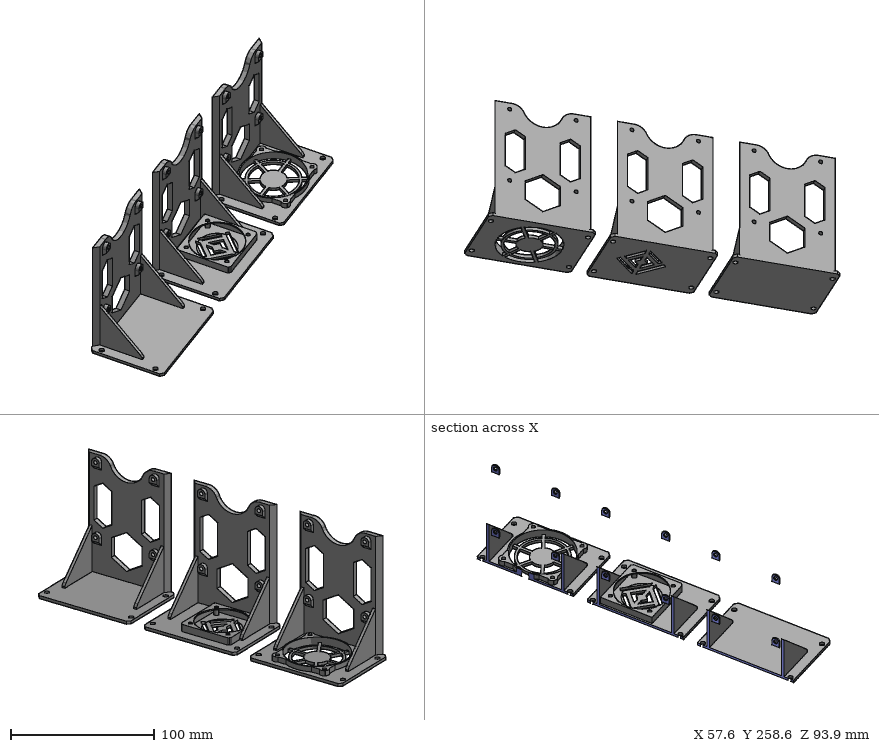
import cadquery as cq
import math

BASE_X = 57.6
BASE_Y = 78.6
BASE_T = 2.4
BASE_CHAMFER = 2.4
BRACKET_PITCH = 90.0
MOUNT_HOLE_D = 3.6
MOUNT_SPAN_X = 42.4
MOUNT_SPAN_Y = 71.6

WALL_T = 4.0
WALL_H = 93.9
WALL_Y = 70.6
RIB_OUTER_Y = 31.7
SCOOP_R = 15.0
SHOULDER_R = 10.0

SIDE_HEX_FLATS = 15.0
SIDE_HEX_Y = 20.25
SIDE_HEX_Z = 55.5
SIDE_HEX_STRETCH = 17.4
LOW_HEX_FLATS = 26.0
LOW_HEX_Z = 25.2

BOARD_SPAN_Y = 49.0
BOARD_SPAN_Z = 58.0
BOARD_TOP_Z = 88.9
STANDOFF_D = 6.4
STANDOFF_L = 3.0
STANDOFF_HOLE_D = 2.8

RIB_T = 2.4
RIB_TOP_Z = 38.0
RIB_KNEE_X = 36.0
RIB_END_X = 37.6
RIB_END_Z = 3.6

FAN50_X = 29.9
FAN50_HOLE_SPAN = 40.0
FAN50_BORE_D = 48.0
FAN50_RIM_D = 50.0
FAN50_TOP_Z = 6.4
FAN50_FRAME = 45.2
FAN50_LUG_R = 3.5
HUB_D = 19.0
GUARD_RING_OD = 40.0
GUARD_RING_ID = 36.0
SPOKE_W = 2.4
SPOKE_COUNT = 6

FAN40_X = 28.4
FAN40_Y = 8.2
FAN40_SIDE = 42.2
FAN40_TOP_Z = 8.0
FAN40_CHAMFER = 1.6
FAN40_BORE_D = 39.8
FAN40_HOLE_SPAN = 32.0
FAN40_WALL = 1.2
FAN40_ROOF = 1.0
FAN40_POST_D = 3.8
FAN40_DISH_D = 29.0
FAN40_DISH_DEPTH = 0.3
GRILLE_CORE = 3.3
GRILLE_WINDOW = 6.6
GRILLE_SLOT_IN = 9.9
GRILLE_SLOT_OUT = 12.7
GRILLE_BAR_W = 3.0

GRILLE_T = BASE_T
FAN_HOLE_D = 2.8
FAN_HOLE_FLOOR_Z = 1.0


def centred_box(x, y, width, depth, z_low, z_high):
    return (cq.Workplane("XY", origin=(x, y, z_low))
            .rect(width, depth).extrude(z_high - z_low))


def disc(x, y, diameter, z_low, z_high):
    return (cq.Workplane("XY", origin=(x, y, z_low))
            .circle(diameter / 2).extrude(z_high - z_low))


def make_base():
    base = centred_box(BASE_X / 2, 0, BASE_X, BASE_Y, 0, BASE_T)
    base = base.edges("|Z").chamfer(BASE_CHAMFER)
    holes = (cq.Workplane("XY", origin=(BASE_X / 2, 0, 0))
             .rect(MOUNT_SPAN_X, MOUNT_SPAN_Y, forConstruction=True).vertices()
             .circle(MOUNT_HOLE_D / 2).extrude(BASE_T))
    return base.cut(holes)


def scoop_cutter():
    """Semicircular dip in the wall's top edge, blended into it by two round shoulders."""
    shoulder_y = math.sqrt((SCOOP_R + SHOULDER_R) ** 2 - SHOULDER_R ** 2)
    blend = SCOOP_R / (SCOOP_R + SHOULDER_R)
    join_y = shoulder_y * blend
    join_z = WALL_H - SHOULDER_R * blend
    half_angle = math.atan2(shoulder_y, SHOULDER_R) / 2
    mid_y = shoulder_y - SHOULDER_R * math.sin(half_angle)
    mid_z = WALL_H - SHOULDER_R + SHOULDER_R * math.cos(half_angle)
    return (cq.Workplane("YZ")
            .moveTo(-shoulder_y, WALL_H)
            .threePointArc((-mid_y, mid_z), (-join_y, join_z))
            .threePointArc((0, WALL_H - SCOOP_R), (join_y, join_z))
            .threePointArc((mid_y, mid_z), (shoulder_y, WALL_H))
            .close().extrude(WALL_T))


def hex_window(y, z, flats, stretch=0.0):
    """Point-up hexagon cutter whose upright sides are lengthened by `stretch`."""
    half = flats / 2
    side = half / math.cos(math.radians(30))
    shoulder = (side + stretch) / 2
    tip = side + stretch / 2
    corners = [(half, shoulder), (0, tip), (-half, shoulder),
               (-half, -shoulder), (0, -tip), (half, -shoulder)]
    return (cq.Workplane("YZ", origin=(0, y, z)).polyline(corners).close().extrude(WALL_T))


def make_wall():
    outer = WALL_Y / 2
    footprint = [(0, -outer), (WALL_T, -RIB_OUTER_Y), (WALL_T, RIB_OUTER_Y), (0, outer)]
    wall = cq.Workplane("XY").polyline(footprint).close().extrude(WALL_H)
    wall = wall.cut(scoop_cutter())
    for side in (-1, 1):
        wall = wall.cut(hex_window(side * SIDE_HEX_Y, SIDE_HEX_Z, SIDE_HEX_FLATS, SIDE_HEX_STRETCH))
    return wall.cut(hex_window(0, LOW_HEX_Z, LOW_HEX_FLATS))


def make_standoff(y, z):
    """Round post with a 45 degree support below it."""
    radius = STANDOFF_D / 2
    post = cq.Workplane("YZ", origin=(WALL_T, y, z)).circle(radius).extrude(STANDOFF_L)
    support = (cq.Workplane("XZ", origin=(0, y + radius, 0))
               .moveTo(WALL_T, z).lineTo(WALL_T + STANDOFF_L, z)
               .lineTo(WALL_T + STANDOFF_L, z - radius)
               .lineTo(WALL_T, z - radius - STANDOFF_L)
               .close().extrude(STANDOFF_D))
    return post.union(support)


def board_positions():
    return [(side * BOARD_SPAN_Y / 2, z)
            for side in (-1, 1) for z in (BOARD_TOP_Z, BOARD_TOP_Z - BOARD_SPAN_Z)]


def make_rib(side):
    knee_z = RIB_TOP_Z - (RIB_KNEE_X - WALL_T)
    profile = [(WALL_T, BASE_T), (WALL_T, RIB_TOP_Z), (RIB_KNEE_X, knee_z),
               (RIB_END_X, RIB_END_Z), (RIB_END_X, BASE_T)]
    far_y = RIB_OUTER_Y if side > 0 else RIB_T - RIB_OUTER_Y
    return (cq.Workplane("XZ", origin=(0, far_y, 0)).polyline(profile).close().extrude(RIB_T))


def make_plain_bracket():
    bracket = make_base().union(make_wall())
    for side in (-1, 1):
        bracket = bracket.union(make_rib(side))
    for y, z in board_positions():
        bracket = bracket.union(make_standoff(y, z))
    for y, z in board_positions():
        hole = (cq.Workplane("YZ", origin=(0, y, z))
                .circle(STANDOFF_HOLE_D / 2).extrude(WALL_T + STANDOFF_L))
        bracket = bracket.cut(hole)
    return bracket


def fan_screw_holes(x, y, span, top_z):
    return (cq.Workplane("XY", origin=(x, y, FAN_HOLE_FLOOR_Z))
            .rect(span, span, forConstruction=True).vertices()
            .circle(FAN_HOLE_D / 2).extrude(top_z - FAN_HOLE_FLOOR_Z))


def make_round_guard():
    """Hub, ring and spokes across the bore of the 50 mm fan seat."""
    ring = disc(FAN50_X, 0, GUARD_RING_OD, 0, GRILLE_T)
    ring = ring.cut(disc(FAN50_X, 0, GUARD_RING_ID, 0, GRILLE_T))
    guard = ring.union(disc(FAN50_X, 0, HUB_D, 0, GRILLE_T))
    spoke_reach = (FAN50_BORE_D + FAN50_RIM_D) / 4
    for i in range(SPOKE_COUNT):
        spoke = (cq.Workplane("XY").center(spoke_reach / 2, 0)
                 .rect(spoke_reach, SPOKE_W).extrude(GRILLE_T)
                 .rotate((0, 0, 0), (0, 0, 1), 90 + i * 360 / SPOKE_COUNT)
                 .translate((FAN50_X, 0, 0)))
        guard = guard.union(spoke)
    return guard


def make_fan50_bracket():
    seat = centred_box(FAN50_X, 0, FAN50_FRAME, FAN50_FRAME, BASE_T, FAN50_TOP_Z)
    lugs = (cq.Workplane("XY", origin=(FAN50_X, 0, BASE_T))
            .rect(FAN50_HOLE_SPAN, FAN50_HOLE_SPAN, forConstruction=True).vertices()
            .circle(FAN50_LUG_R).extrude(FAN50_TOP_Z - BASE_T))
    seat = seat.union(lugs).union(disc(FAN50_X, 0, FAN50_RIM_D, BASE_T, FAN50_TOP_Z))
    bracket = make_plain_bracket().union(seat)
    bracket = bracket.cut(disc(FAN50_X, 0, FAN50_BORE_D, 0, FAN50_TOP_Z))
    bracket = bracket.cut(fan_screw_holes(FAN50_X, 0, FAN50_HOLE_SPAN, FAN50_TOP_Z))
    return bracket.union(make_round_guard())


def make_square_grille_cutter():
    """Openings between concentric squares turned 45 degrees, with a bar left across the middle."""
    window = centred_box(0, 0, 2 * GRILLE_WINDOW, 2 * GRILLE_WINDOW, 0, GRILLE_T)
    openings = window.cut(centred_box(0, 0, 2 * GRILLE_CORE, 2 * GRILLE_CORE, 0, GRILLE_T))
    slot_mid = (GRILLE_SLOT_IN + GRILLE_SLOT_OUT) / 2
    slot_w = GRILLE_SLOT_OUT - GRILLE_SLOT_IN
    long_slot_l = 2 * GRILLE_SLOT_OUT
    short_slot_l = GRILLE_SLOT_OUT + GRILLE_WINDOW
    short_slot_mid = (GRILLE_WINDOW - GRILLE_SLOT_OUT) / 2
    openings = openings.union(centred_box(slot_mid, 0, slot_w, long_slot_l, 0, GRILLE_T))
    openings = openings.union(centred_box(0, -slot_mid, long_slot_l, slot_w, 0, GRILLE_T))
    openings = openings.union(centred_box(short_slot_mid, slot_mid, short_slot_l, slot_w, 0, GRILLE_T))
    openings = openings.union(centred_box(-slot_mid, -short_slot_mid, slot_w, short_slot_l, 0, GRILLE_T))
    openings = openings.rotate((0, 0, 0), (0, 0, 1), 45)
    bar = centred_box(0, 0, 4 * GRILLE_SLOT_OUT, GRILLE_BAR_W, 0, GRILLE_T)
    return openings.cut(bar).translate((FAN40_X, FAN40_Y, 0))


def make_fan40_hollow():
    """Space inside the 40 mm fan seat: a square room around four screw posts, open to a round bore."""
    room_side = FAN40_SIDE - 2 * FAN40_WALL
    roof_z = FAN40_TOP_Z - FAN40_ROOF
    room = centred_box(FAN40_X, FAN40_Y, room_side, room_side, BASE_T, roof_z)
    posts = (cq.Workplane("XY", origin=(FAN40_X, FAN40_Y, BASE_T))
             .rect(FAN40_HOLE_SPAN, FAN40_HOLE_SPAN, forConstruction=True).vertices()
             .circle(FAN40_POST_D / 2).extrude(roof_z - BASE_T))
    bore = disc(FAN40_X, FAN40_Y, FAN40_BORE_D, roof_z, FAN40_TOP_Z)
    return room.cut(posts).union(bore)


def make_fan40_bracket():
    seat = centred_box(FAN40_X, FAN40_Y, FAN40_SIDE, FAN40_SIDE, BASE_T, FAN40_TOP_Z)
    seat = seat.edges("|Z and >X").chamfer(FAN40_CHAMFER)
    bracket = make_plain_bracket().union(seat).cut(make_fan40_hollow())
    bracket = bracket.cut(disc(FAN40_X, FAN40_Y, FAN40_DISH_D, BASE_T - FAN40_DISH_DEPTH, BASE_T))
    bracket = bracket.cut(fan_screw_holes(FAN40_X, FAN40_Y, FAN40_HOLE_SPAN, FAN40_TOP_Z))
    return bracket.cut(make_square_grille_cutter())


plain_bracket = make_plain_bracket().translate((0, -BRACKET_PITCH, 0))
fan40_bracket = make_fan40_bracket()
fan50_bracket = make_fan50_bracket().translate((0, BRACKET_PITCH, 0))

result = cq.Compound.makeCompound([plain_bracket.val(), fan40_bracket.val(), fan50_bracket.val()])